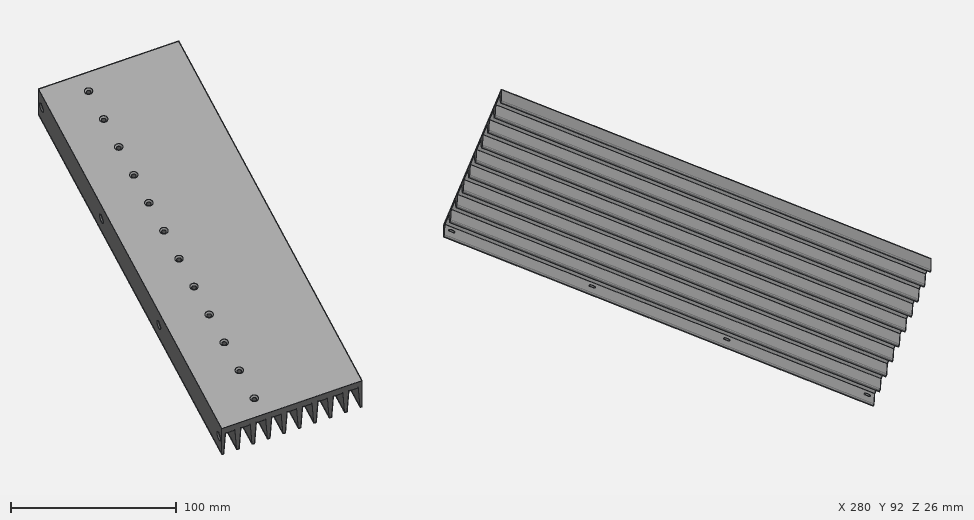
import cadquery as cq

length = 280.0
width = 92.0
height = 26.0
base_thickness = 6.0

gap_count = 9
outer_fin_root = 2.5
gap_root_width = 6.2
gap_mouth_width = 8.5
fin_pitch = (width - 2 * outer_fin_root - gap_root_width) / (gap_count - 1)
fin_tip_radius = 0.67

base_hole_count = 12
base_hole_span = 253.0
base_hole_pitch = base_hole_span / (base_hole_count - 1)
base_hole_front_offset = 27.2
base_hole_y = base_hole_front_offset - width / 2
base_hole_diameter = 2.8
base_sink_diameter = 5.0

side_hole_outer_spacing = 270.8
side_hole_inner_spacing = 87.5
side_hole_diameter = 4.0
side_hole_depth = fin_pitch / 2
side_sink_diameter = 6.0

sink_angle = 90.0


def make_gap(center_y):
    """Tapered slot between two fins, widening towards the fin tips."""
    root_half = gap_root_width / 2
    mouth_half = gap_mouth_width / 2
    return (
        cq.Workplane("YZ")
        .polyline([
            (center_y - root_half, -base_thickness),
            (center_y + root_half, -base_thickness),
            (center_y + mouth_half, -height),
            (center_y - mouth_half, -height),
        ])
        .close()
        .extrude(length / 2, both=True)
    )


result = cq.Workplane("XY").box(length, width, height, centered=(True, True, False))
result = result.translate((0, 0, -height))

for index in range(gap_count):
    result = result.cut(make_gap((index - (gap_count - 1) / 2) * fin_pitch))

result = result.faces("<Z").edges("|X").fillet(fin_tip_radius)

base_hole_points = [
    ((index - (base_hole_count - 1) / 2) * base_hole_pitch, base_hole_y)
    for index in range(base_hole_count)
]
result = (
    result.faces(">Z").workplane(origin=(0, 0, 0))
    .pushPoints(base_hole_points)
    .cskHole(base_hole_diameter, base_sink_diameter, sink_angle, depth=base_thickness)
)

side_hole_outer_x = side_hole_outer_spacing / 2
side_hole_inner_x = side_hole_inner_spacing / 2
side_hole_points = [
    (x, 0)
    for x in (-side_hole_outer_x, -side_hole_inner_x, side_hole_inner_x, side_hole_outer_x)
]
result = (
    result.faces("<Y").workplane(origin=(0, -width / 2, -height / 2))
    .pushPoints(side_hole_points)
    .cskHole(side_hole_diameter, side_sink_diameter, sink_angle, depth=side_hole_depth)
)